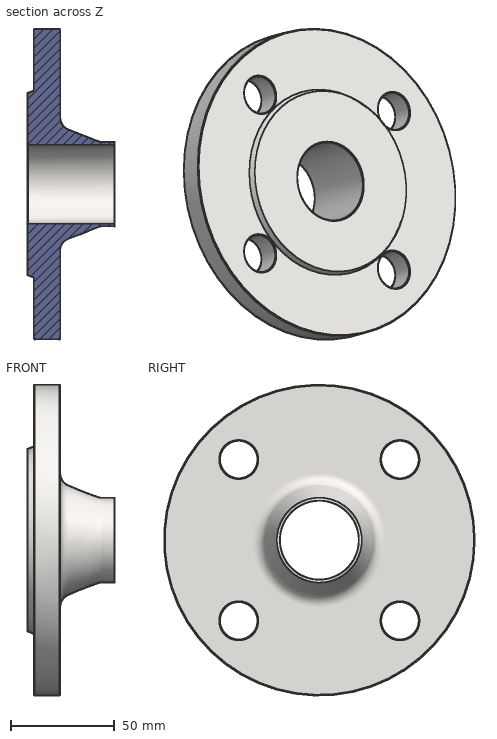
import cadquery as cq
import math

flange_diameter = 150.0
total_length = 42.0
flange_thickness = 12.9
edge_chamfer = 0.5

raised_face_height = 3.0
raised_face_diameter = 88.0
raised_face_base_diameter = 90.5

neck_diameter = 41.0
neck_straight_length = 6.0
neck_root_diameter = 64.0
blend_radius = 6.0

bore_diameter = 38.0
bolt_circle_diameter = 110.0
bolt_hole_diameter = 18.0
bolt_hole_count = 4
first_bolt_angle = 45.0

face_x = -total_length / 2
flange_front_x = face_x + raised_face_height
flange_back_x = flange_front_x + flange_thickness
neck_end_x = total_length / 2


def make_flange():
    plate = cq.Workplane("YZ", origin=(flange_front_x, 0, 0))
    plate = plate.circle(flange_diameter / 2).extrude(flange_thickness)
    plate = plate.edges().chamfer(edge_chamfer)
    bolt_holes = (
        cq.Workplane("YZ", origin=(flange_front_x, 0, 0))
        .polarArray(bolt_circle_diameter / 2, first_bolt_angle, 360, bolt_hole_count)
        .circle(bolt_hole_diameter / 2)
        .extrude(flange_thickness)
    )
    plate = plate.cut(bolt_holes)
    rims = [
        edge
        for face in plate.faces("<X or >X").vals()
        for wire in face.innerWires()
        for edge in wire.Edges()
    ]
    return plate.newObject(rims).chamfer(edge_chamfer)


def make_raised_face():
    return (
        cq.Workplane("XY")
        .moveTo(face_x, 0)
        .lineTo(face_x, raised_face_diameter / 2)
        .lineTo(flange_front_x, raised_face_base_diameter / 2)
        .lineTo(flange_front_x, 0)
        .close()
        .revolve(360, (0, 0, 0), (1, 0, 0))
    )


def make_neck():
    neck_radius = neck_diameter / 2
    root_radius = neck_root_diameter / 2
    straight_start_x = neck_end_x - neck_straight_length

    end_centre = (straight_start_x, neck_radius + blend_radius)
    root_centre = (flange_back_x + blend_radius, root_radius)
    cone_angle = math.atan2(root_centre[1] - end_centre[1], end_centre[0] - root_centre[0])

    def arc_point(centre, angle):
        return (
            centre[0] - blend_radius * math.sin(angle),
            centre[1] - blend_radius * math.cos(angle),
        )

    root_middle_angle = (cone_angle + math.pi / 2) / 2
    return (
        cq.Workplane("XY")
        .moveTo(flange_back_x, 0)
        .lineTo(neck_end_x, 0)
        .lineTo(neck_end_x, neck_radius)
        .lineTo(straight_start_x, neck_radius)
        .threePointArc(arc_point(end_centre, cone_angle / 2), arc_point(end_centre, cone_angle))
        .lineTo(*arc_point(root_centre, cone_angle))
        .threePointArc(arc_point(root_centre, root_middle_angle), (flange_back_x, root_radius))
        .close()
        .revolve(360, (0, 0, 0), (1, 0, 0))
    )


def make_bore():
    bore_radius = bore_diameter / 2
    return (
        cq.Workplane("XY")
        .moveTo(face_x, 0)
        .lineTo(face_x, bore_radius + edge_chamfer)
        .lineTo(face_x + edge_chamfer, bore_radius)
        .lineTo(neck_end_x, bore_radius)
        .lineTo(neck_end_x, 0)
        .close()
        .revolve(360, (0, 0, 0), (1, 0, 0))
    )


result = make_flange().union(make_raised_face()).union(make_neck()).cut(make_bore())